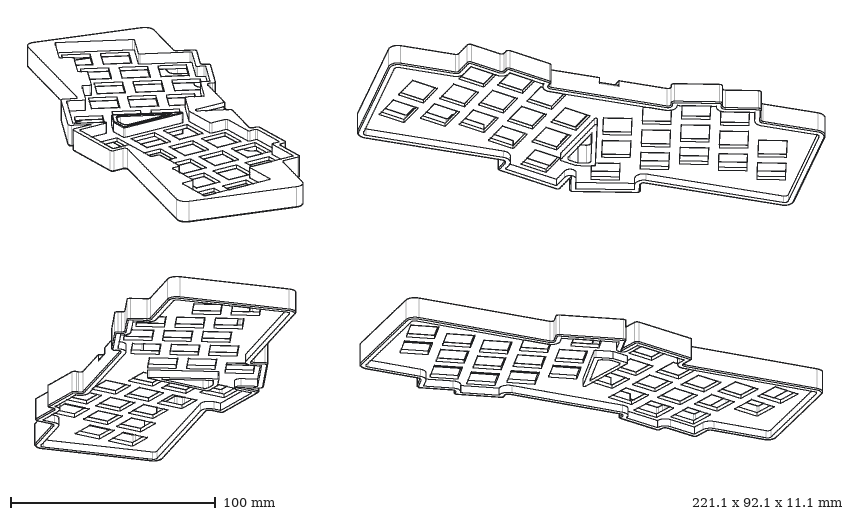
import cadquery as cq
body_length = 221.1
body_back = 35.75
body_front = -29.65
body_height = 11.1
body_corner_radius = 4.8
bottom_chamfer = 0.6

key_pitch = 19.05
hand_angle = 14.0
switch_hole = 13.9
thumb_key_units = 1.5
home_key_x = -16.45
home_key_y = -10.4
columns = [
    (0, 0, 2),
    (-1, -0.5, 3),
    (-2, -0.25, 3),
    (-3, -0.5, 3),
    (-4, -0.875, 2),
]
thumb_across = 0.25
thumb_up = -1

key_clearance = 0.45
wall_thickness = 2.55
plate_top = 5.7
plate_thickness = 1.9
plate_bottom = plate_top - plate_thickness
inner_wall = 3.0
pocket_radius = 0.8
outline_radius = 1.5
centre_gap = 0.1

frame_wall = 2.3
frame_radius = 0.7
frame_hole_radius = 2.0
frame_chamfer = 0.4

notch_back_width = 9.8
notch_tip_width = 2.0
notch_tip_y = 19.1
notch_depth = 2.2
notch_lip_radius = 1.3


def key_places():
    """Centre (across, up) and width in key units of every key of the left hand."""
    places = []
    for across, up, count in columns:
        for row in range(count):
            places.append((across, up + row, 1))
    places.append((thumb_across, thumb_up, thumb_key_units))
    return places


def key_block(across, up, width, depth, bottom, top):
    """Rectangular block centred on one key place and turned with the left hand."""
    block = (
        cq.Workplane("XY")
        .center(across * key_pitch, up * key_pitch)
        .rect(width, depth)
        .extrude(top - bottom)
    )
    turned = block.rotate((0, 0, 0), (0, 0, 1), -hand_angle)
    return turned.translate((home_key_x, home_key_y, bottom)).val()


def both_hands(blocks):
    """Join the left-hand blocks and their mirror images."""
    mirrored = [block.mirror("YZ") for block in blocks]
    return cq.Workplane(obj=blocks[0].fuse(*blocks[1:], *mirrored).clean())


def key_field(margin, bottom, top):
    """Joined cells of all keys of both hands, each cell grown by a margin."""
    depth = key_pitch + 2 * margin
    blocks = []
    for across, up, units in key_places():
        width = units * key_pitch + 2 * margin
        blocks.append(key_block(across, up, width, depth, bottom, top))
    return both_hands(blocks)


def switch_holes():
    """Square openings through the plate for the switches."""
    blocks = []
    for across, up, _ in key_places():
        blocks.append(key_block(across, up, switch_hole, switch_hole, 0, body_height))
    return both_hands(blocks)


def prism(wire, height):
    """Upright solid of the given height on a closed wire."""
    return cq.Workplane(obj=cq.Solid.extrudeLinear(wire, [], cq.Vector(0, 0, height)))


def field_boundary(margin):
    """Outer boundary of the grown key cells."""
    return key_field(margin, 0, 1).faces("<Z").val().outerWire()


def field_gap(margin):
    """Boundary of the triangular gap the grown key cells leave between the hands."""
    return key_field(margin, 0, 1).faces("<Z").val().innerWires()[0]


def is_side_corner(edge):
    """True for an upright edge away from both the centre plane and the ends of the base."""
    straight_end = body_length / 2 - body_corner_radius - 1
    return centre_gap < abs(edge.Center().x) < straight_end


def is_pocket_corner(edge):
    """True for every upright pocket edge but the one at the back of the centre plane."""
    return is_side_corner(edge) or edge.Center().y < 0


def outline(height):
    """Solid block: the rounded base rectangle joined with the walls around the keys."""
    base = (
        cq.Workplane("XY")
        .center(0, (body_back + body_front) / 2)
        .rect(body_length, body_back - body_front)
        .extrude(height)
        .edges("|Z")
        .fillet(body_corner_radius)
    )
    rim = prism(field_boundary(key_clearance + wall_thickness), height)
    block = base.union(rim).clean()
    return block.edges("|Z").filter(is_side_corner).fillet(outline_radius)


def key_pocket():
    """Open pocket above the plate, following the key cells."""
    pocket = prism(field_boundary(key_clearance), body_height - plate_top).translate((0, 0, plate_top))
    return pocket.edges("|Z").filter(is_pocket_corner).fillet(pocket_radius)


def plate_cavity():
    """Open cavity below the plate, a wall thickness inside the outline."""
    edge = outline(plate_bottom).faces("<Z").wires().val()
    return prism(edge.offset2D(-inner_wall)[0], plate_bottom)


def frame_hole():
    """Opening through the central frame, a wall thickness inside the gap between the hands."""
    edge = field_gap(key_clearance).offset2D(-frame_wall)[0]
    hole = prism(edge, body_height)
    return hole.edges("|Z").edges(">X or <X").fillet(frame_hole_radius)


def central_frame():
    """Full-height triangular frame in the gap between the hands, chamfered around its top."""
    block = prism(field_gap(key_clearance), body_height)
    block = block.edges("|Z").edges(">X or <X or >Y").fillet(frame_radius)
    return block.cut(frame_hole()).faces(">Z").chamfer(frame_chamfer)


def back_notch():
    """Tapered notch in the back edge; its floor rolls over into the back face."""
    floor = body_height - notch_depth
    notch = (
        cq.Workplane("XY")
        .workplane(offset=floor)
        .moveTo(-notch_tip_width / 2, notch_tip_y)
        .lineTo(notch_tip_width / 2, notch_tip_y)
        .lineTo(notch_back_width / 2, body_back)
        .lineTo(-notch_back_width / 2, body_back)
        .close()
        .extrude(notch_depth)
    )
    lip = (
        cq.Workplane("YZ")
        .moveTo(body_back - notch_lip_radius, floor)
        .radiusArc((body_back, floor - notch_lip_radius), notch_lip_radius)
        .lineTo(body_back, floor)
        .close()
        .extrude(notch_back_width / 2, both=True)
    )
    return notch.union(lip)


body = outline(body_height).faces("<Z").chamfer(bottom_chamfer)
hollow = body.cut(key_pocket()).cut(plate_cavity()).cut(switch_holes())
result = hollow.cut(frame_hole()).union(central_frame()).cut(back_notch())